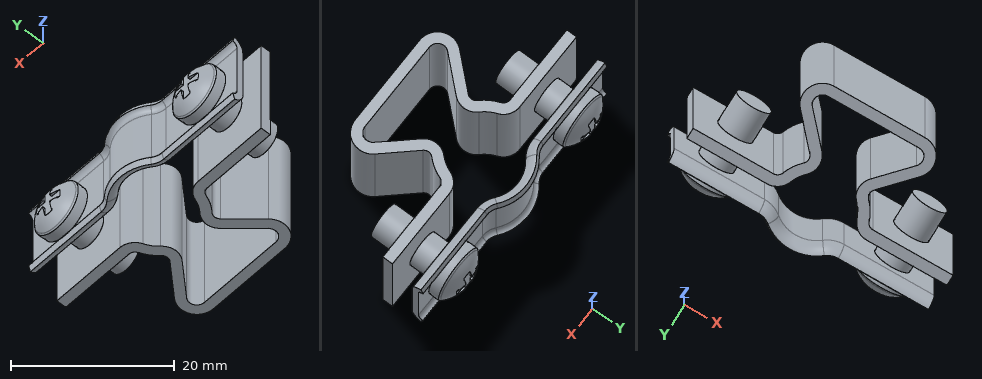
import math

import cadquery as cq


LENGTH = 37.0

CLIP_HEIGHT = 16.0
CLIP_THICKNESS = 1.5
FLANGE_FACE_Y = 15.0
SEAT_RADIUS = 5.0
BEND_INNER_RADIUS = 1.0
BASE_HALF_WIDTH = 9.25
BASE_INNER_RADIUS = 1.25
NECK_ANGLE = 45.0

BAR_FACE_Y = 18.0
BAR_THICKNESS = 1.0
BAR_HEIGHT = 12.0
LIP_INNER_RADIUS = 1.0
LIP_ANGLE = 72.0
ARCH_RISE = 2.0
ARCH_FOOT_RADIUS = 4.0

SCREW_SPACING = 25.0
SHANK_DIAMETER = 5.0
SCREW_TIP_Y = 9.0
HEAD_DIAMETER = 7.88
HEAD_HEIGHT = 3.3
RIM_HEIGHT = 1.5
RIM_BULGE = 0.05
SHOULDER_INSET = 0.2
SHOULDER_HEIGHT = 0.22
SLOT_WIDTH = 1.22
SLOT_FLOOR_Y = 21.83

BEND_OUTER_RADIUS = BEND_INNER_RADIUS + CLIP_THICKNESS
BASE_OUTER_RADIUS = BASE_INNER_RADIUS + CLIP_THICKNESS
HEAD_SEAT_Y = BAR_FACE_Y + BAR_THICKNESS
SCREW_XS = (-SCREW_SPACING / 2, SCREW_SPACING / 2)


def polar(center, radius, angle):
    """Point at a radius and an angle in degrees from a center."""
    turn = math.radians(angle)
    return (center[0] + radius * math.cos(turn), center[1] + radius * math.sin(turn))


def screw_cylinder(x, diameter, start_y, end_y):
    """Cylinder on a screw's axis, from start_y to end_y."""
    circle = cq.Workplane("XZ", origin=(x, start_y, 0)).circle(diameter / 2)
    return circle.extrude(start_y - end_y)


def clip_half():
    """Left half of the bent strip, cut off at X = 0."""
    seat = (0, FLANGE_FACE_Y)
    bend_distance = SEAT_RADIUS + BEND_OUTER_RADIUS
    flange_tilt = math.degrees(math.asin(BEND_OUTER_RADIUS / bend_distance))
    flange_seat_angle = 180 + flange_tilt
    neck_seat_angle = 180 + NECK_ANGLE
    flange_bend = polar(seat, bend_distance, flange_seat_angle)
    neck_bend = polar(seat, bend_distance, neck_seat_angle)
    base_bend = (BASE_OUTER_RADIUS - BASE_HALF_WIDTH, BASE_OUTER_RADIUS)

    run = neck_bend[0] - base_bend[0]
    rise = neck_bend[1] - base_bend[1]
    crossing = math.asin((BEND_OUTER_RADIUS + BASE_INNER_RADIUS) / math.hypot(run, rise))
    lean = math.degrees(crossing + math.atan2(run, rise))

    def bend_arc(outline, center, radius, start, end):
        middle = polar(center, radius, (start + end) / 2)
        return outline.threePointArc(middle, polar(center, radius, end))

    seat_back_radius = SEAT_RADIUS + CLIP_THICKNESS
    outline = cq.Workplane("XY", origin=(0, 0, -CLIP_HEIGHT / 2))
    outline = outline.moveTo(-LENGTH / 2, FLANGE_FACE_Y).lineTo(flange_bend[0], FLANGE_FACE_Y)
    outline = bend_arc(outline, flange_bend, BEND_OUTER_RADIUS, 90, flange_tilt)
    outline = bend_arc(outline, seat, SEAT_RADIUS, flange_seat_angle, neck_seat_angle)
    outline = bend_arc(outline, neck_bend, BEND_OUTER_RADIUS, NECK_ANGLE, -lean)
    outline = outline.lineTo(*polar(base_bend, BASE_INNER_RADIUS, 180 - lean))
    outline = bend_arc(outline, base_bend, BASE_INNER_RADIUS, 180 - lean, 270)
    outline = outline.lineTo(0, CLIP_THICKNESS).lineTo(0, 0)
    outline = outline.lineTo(base_bend[0], 0)
    outline = bend_arc(outline, base_bend, BASE_OUTER_RADIUS, 270, 180 - lean)
    outline = outline.lineTo(*polar(neck_bend, BEND_INNER_RADIUS, -lean))
    outline = bend_arc(outline, neck_bend, BEND_INNER_RADIUS, -lean, NECK_ANGLE)
    outline = bend_arc(outline, seat, seat_back_radius, neck_seat_angle, flange_seat_angle)
    outline = bend_arc(outline, flange_bend, BEND_INNER_RADIUS, flange_tilt, 90)
    outline = outline.lineTo(-LENGTH / 2, FLANGE_FACE_Y - CLIP_THICKNESS).close()
    return outline.extrude(CLIP_HEIGHT)


def make_clip():
    """Spring clip: two flanges, a round seat, a neck and a flat closed end."""
    half = clip_half()
    clip = half.union(half.mirror("YZ")).clean()
    for x in SCREW_XS:
        clip = clip.cut(screw_cylinder(x, SHANK_DIAMETER, SCREW_TIP_Y, FLANGE_FACE_Y))
    return clip


def bar_path():
    """Path of the bar's front face: straight ends and an arch in the middle."""
    radius_sum = SEAT_RADIUS + ARCH_FOOT_RADIUS
    slope = math.degrees(math.acos(1 - ARCH_RISE / radius_sum))
    foot_x = radius_sum * math.sin(math.radians(slope))
    arch = (0, BAR_FACE_Y + ARCH_RISE - SEAT_RADIUS)
    left_foot = (-foot_x, BAR_FACE_Y + ARCH_FOOT_RADIUS)
    right_foot = (foot_x, BAR_FACE_Y + ARCH_FOOT_RADIUS)

    path = cq.Workplane("XY").moveTo(-LENGTH / 2, BAR_FACE_Y).lineTo(-foot_x, BAR_FACE_Y)
    path = path.threePointArc(
        polar(left_foot, ARCH_FOOT_RADIUS, 270 + slope / 2),
        polar(left_foot, ARCH_FOOT_RADIUS, 270 + slope),
    )
    path = path.threePointArc((0, BAR_FACE_Y + ARCH_RISE), polar(arch, SEAT_RADIUS, 90 - slope))
    path = path.threePointArc(
        polar(right_foot, ARCH_FOOT_RADIUS, 270 - slope / 2),
        (foot_x, BAR_FACE_Y),
    )
    return path.lineTo(LENGTH / 2, BAR_FACE_Y)


def bar_section():
    """Channel section at the left end of the bar, with both lips curled away from the clip."""
    outer_radius = LIP_INNER_RADIUS + BAR_THICKNESS
    bend_z = BAR_HEIGHT / 2 - outer_radius * math.sin(math.radians(LIP_ANGLE))
    top_bend = (BAR_FACE_Y + outer_radius, bend_z)
    bottom_bend = (BAR_FACE_Y + outer_radius, -bend_z)
    half_turn = LIP_ANGLE / 2

    return (
        cq.Workplane("YZ", origin=(-LENGTH / 2, 0, 0))
        .moveTo(BAR_FACE_Y, -bend_z)
        .lineTo(BAR_FACE_Y, bend_z)
        .threePointArc(
            polar(top_bend, outer_radius, 180 - half_turn),
            polar(top_bend, outer_radius, 180 - LIP_ANGLE),
        )
        .lineTo(*polar(top_bend, LIP_INNER_RADIUS, 180 - LIP_ANGLE))
        .threePointArc(
            polar(top_bend, LIP_INNER_RADIUS, 180 - half_turn),
            (HEAD_SEAT_Y, bend_z),
        )
        .lineTo(HEAD_SEAT_Y, -bend_z)
        .threePointArc(
            polar(bottom_bend, LIP_INNER_RADIUS, 180 + half_turn),
            polar(bottom_bend, LIP_INNER_RADIUS, 180 + LIP_ANGLE),
        )
        .lineTo(*polar(bottom_bend, outer_radius, 180 + LIP_ANGLE))
        .threePointArc(
            polar(bottom_bend, outer_radius, 180 + half_turn),
            (BAR_FACE_Y, -bend_z),
        )
        .close()
    )


def make_bar():
    """Channel bar with an arch opposite the clip's seat and a hole for each screw."""
    bar = bar_section().sweep(bar_path())
    for x in SCREW_XS:
        bar = bar.cut(screw_cylinder(x, SHANK_DIAMETER, BAR_FACE_Y, HEAD_SEAT_Y))
    return bar


def make_screw(x):
    """Screw along Y with a domed head and a cross slot."""
    shank_radius = SHANK_DIAMETER / 2
    head_radius = HEAD_DIAMETER / 2
    rim_top_y = HEAD_SEAT_Y + RIM_HEIGHT
    top_y = HEAD_SEAT_Y + HEAD_HEIGHT
    dome_edge = (head_radius - SHOULDER_INSET, rim_top_y + SHOULDER_HEIGHT)
    dome_rise = top_y - dome_edge[1]
    dome_radius = (dome_edge[0] ** 2 + dome_rise**2) / (2 * dome_rise)
    dome_center = (0, top_y - dome_radius)
    dome_edge_angle = math.degrees(math.acos(dome_edge[0] / dome_radius))

    screw = (
        cq.Workplane("XY", origin=(x, 0, 0))
        .moveTo(0, SCREW_TIP_Y)
        .lineTo(shank_radius, SCREW_TIP_Y)
        .lineTo(shank_radius, HEAD_SEAT_Y)
        .lineTo(head_radius, HEAD_SEAT_Y)
        .threePointArc(
            (head_radius + RIM_BULGE, HEAD_SEAT_Y + RIM_HEIGHT / 2),
            (head_radius, rim_top_y),
        )
        .lineTo(*dome_edge)
        .threePointArc(polar(dome_center, dome_radius, (90 + dome_edge_angle) / 2), (0, top_y))
        .close()
        .revolve(360, (0, 0, 0), (0, 1, 0))
    )

    slot_plane = cq.Workplane("XZ", origin=(x, SLOT_FLOOR_Y, 0))
    slot_depth = top_y - SLOT_FLOOR_Y
    for length, width in ((HEAD_DIAMETER, SLOT_WIDTH), (SLOT_WIDTH, HEAD_DIAMETER)):
        screw = screw.cut(slot_plane.rect(length, width).extrude(-slot_depth))
    return screw


clip = make_clip()
bar = make_bar()
screws = [make_screw(x) for x in SCREW_XS]

result = cq.Compound.makeCompound([clip.val(), bar.val(), *[screw.val() for screw in screws]])